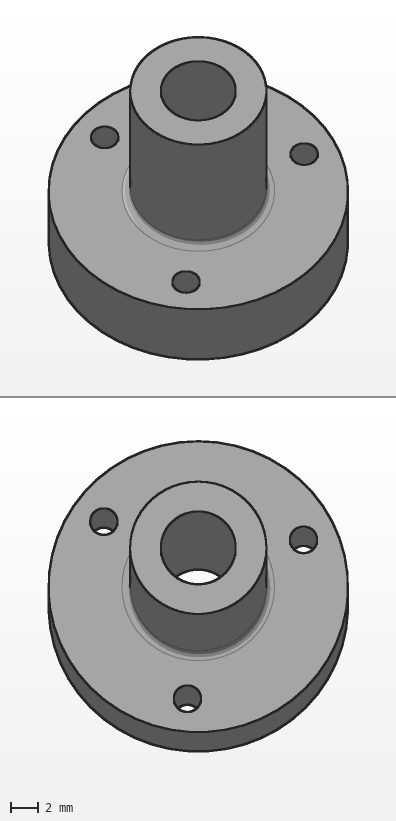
import cadquery as cq

flange_diameter = 22.0
flange_thickness = 6.0
total_height = 18.0
hub_diameter = 10.0
bore_diameter = 5.5
root_fillet_radius = 0.6
bolt_hole_diameter = 2.0
bolt_circle_diameter = 17.0
bolt_hole_count = 3
first_bolt_hole_angle = 90.0

flange = cq.Workplane("XY").circle(flange_diameter / 2).extrude(flange_thickness)
hub = cq.Workplane("XY").circle(hub_diameter / 2).extrude(total_height)
body = flange.union(hub)

hub_root = cq.selectors.RadiusNthSelector(0)
body = body.faces("<Z[-2]").edges(hub_root).fillet(root_fillet_radius)

bore = cq.Workplane("XY").circle(bore_diameter / 2).extrude(total_height)

bolt_holes = (
    cq.Workplane("XY")
    .polarArray(bolt_circle_diameter / 2, first_bolt_hole_angle, 360, bolt_hole_count)
    .circle(bolt_hole_diameter / 2)
    .extrude(flange_thickness)
)

result = body.cut(bore).cut(bolt_holes)